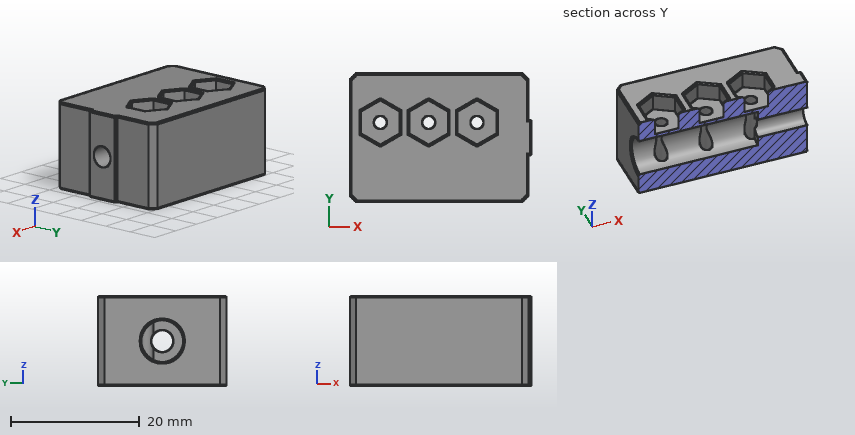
import cadquery as cq
import math

length = 27.75
width = 20.0
height = 14.0
corner_chamfer = 1.0
edge_chamfer = 0.25

tab_projection = 0.5
tab_width = 5.5

bore_diameter = 6.5
bore_depth = 20.0
outlet_diameter = 3.4

screw_count = 3
screw_pitch = 7.5
first_screw_from_end = 4.75
screw_y = 2.35
screw_diameter = 2.0
hex_sides = 6
nut_across_flats = 6.0
nut_depth = 3.0

end_x = -length / 2
top_z = height / 2
screw_positions = [
    (end_x + first_screw_from_end + i * screw_pitch, screw_y) for i in range(screw_count)
]


def block():
    """Rectangular block with chamfered corners and bevelled top and bottom rims."""
    body = cq.Workplane("XY").box(length, width, height)
    body = body.edges("|Z").chamfer(corner_chamfer)
    return body.faces("<Z or >Z").edges().chamfer(edge_chamfer)


def tab():
    """Full-height tab, bevelled all round, rooted inside the block."""
    root_depth = 2 * tab_projection
    thickness = root_depth + tab_projection
    blank = cq.Workplane("XY").box(thickness, tab_width, height)
    blank = blank.edges().chamfer(edge_chamfer)
    return blank.translate((length / 2 + tab_projection - thickness / 2, 0, 0))


def stepped_bore():
    """Blind bore with a bevelled mouth, continued by a smaller through hole."""
    end_face = cq.Workplane("YZ").workplane(offset=end_x)
    bore = end_face.circle(bore_diameter / 2).extrude(bore_depth)
    outlet = end_face.circle(outlet_diameter / 2).extrude(length + tab_projection)
    mouth = (
        end_face.circle(bore_diameter / 2 + edge_chamfer)
        .workplane(offset=edge_chamfer)
        .circle(bore_diameter / 2)
        .loft(ruled=True)
    )
    return bore.union(outlet).union(mouth)


def nut_pocket(position):
    """Hexagonal pocket with a bevelled rim, two corners pointing along Y."""
    half_sector = 180 / hex_sides
    flats_to_corners = 1 / math.cos(math.radians(half_sector))
    corner_diameter = nut_across_flats * flats_to_corners
    rim_diameter = (nut_across_flats + 2 * edge_chamfer) * flats_to_corners
    top = cq.Workplane("XY").workplane(offset=top_z)
    pocket = top.polygon(hex_sides, corner_diameter).extrude(-nut_depth)
    rim = (
        top.polygon(hex_sides, rim_diameter)
        .workplane(offset=-edge_chamfer)
        .polygon(hex_sides, corner_diameter)
        .loft(ruled=True)
    )
    pocket = pocket.union(rim).rotate((0, 0, 0), (0, 0, 1), half_sector)
    return pocket.translate((*position, 0))


def screw_hole(position):
    """Vertical hole through the full height."""
    hole = cq.Workplane("XY").circle(screw_diameter / 2).extrude(height, both=True)
    return hole.translate((*position, 0))


result = block().union(tab()).cut(stepped_bore())
for screw in screw_positions:
    result = result.cut(nut_pocket(screw)).cut(screw_hole(screw))